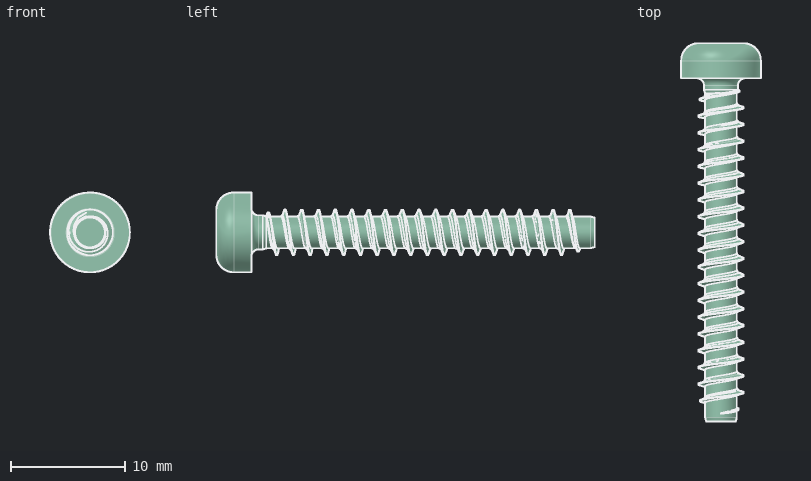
import cadquery as cq
import math


head_radius = 3.5
head_height = 3.09
head_top_round = 1.55
head_rim_round = 0.05

shank_length = 30.0
neck_radius = 1.5
neck_fillet = 0.6
neck_length = 1.0
neck_taper_length = 0.3
core_radius = 1.4
tip_radius = 1.3
tip_taper_length = 0.4

pitch = 1.464
thread_radius = 2.0
crest_half_width = 0.03
head_flank_knee_radius = 1.5
head_flank_knee_offset = 0.24
foot_radius = 1.25
head_flank_foot_offset = 0.8
tip_flank_foot_offset = 0.3
first_full_turn = 1.5
last_full_turn = 19.0
last_turn = 20.25
runout_end_height = 0.05
points_per_turn = 24

ARC_MIDDLE = math.sqrt(0.5)


def make_blank():
    """Head and plain shank, revolved about the Y axis."""
    top_round_x = head_radius - head_top_round
    top_round_y = head_height - head_top_round
    top_round_reach = head_top_round * ARC_MIDDLE
    rim_x = head_radius - head_rim_round
    rim_reach = head_rim_round * ARC_MIDDLE
    fillet_x = neck_radius + neck_fillet
    fillet_reach = neck_fillet * ARC_MIDDLE
    outline = (
        cq.Workplane("XY")
        .moveTo(0, head_height)
        .lineTo(top_round_x, head_height)
        .threePointArc(
            (top_round_x + top_round_reach, top_round_y + top_round_reach),
            (head_radius, top_round_y),
        )
        .lineTo(head_radius, head_rim_round)
        .threePointArc((rim_x + rim_reach, head_rim_round - rim_reach), (rim_x, 0))
        .lineTo(fillet_x, 0)
        .threePointArc(
            (fillet_x - fillet_reach, fillet_reach - neck_fillet),
            (neck_radius, -neck_fillet),
        )
        .lineTo(neck_radius, -neck_length)
        .lineTo(core_radius, -neck_length - neck_taper_length)
        .lineTo(core_radius, tip_taper_length - shank_length)
        .lineTo(tip_radius, -shank_length)
        .lineTo(0, -shank_length)
        .close()
    )
    return outline.revolve(360, (0, 0, 0), (0, 1, 0))


def profile_height(turn):
    """Share of the full profile height: it rises below the head and fades out at the tip."""
    rise = turn / first_full_turn
    fade = (last_turn - turn) / (last_turn - last_full_turn)
    return max(runout_end_height, min(1.0, rise, fade))


def helix_point(turn, full_radius, axial_offset):
    """Point of the helix that one corner of the thread profile follows."""
    radius = foot_radius + (full_radius - foot_radius) * profile_height(turn)
    angle = 2 * math.pi * turn
    return cq.Vector(
        -radius * math.sin(angle),
        -pitch * turn + axial_offset,
        radius * math.cos(angle),
    )


def make_thread():
    """Thread ridge, bounded by ruled faces between neighbouring corner helices."""
    corners = [
        (foot_radius, head_flank_foot_offset),
        (head_flank_knee_radius, head_flank_knee_offset),
        (thread_radius, crest_half_width),
        (thread_radius, -crest_half_width),
        (foot_radius, -tip_flank_foot_offset),
    ]
    step_count = round(last_turn * points_per_turn)
    turns = [last_turn * step / step_count for step in range(step_count + 1)]
    helices = []
    for radius, offset in corners:
        helices.append(cq.Edge.makeSpline([helix_point(turn, radius, offset) for turn in turns]))

    faces = []
    for index, helix in enumerate(helices):
        neighbour = helices[(index + 1) % len(helices)]
        faces.append(cq.Face.makeRuledSurface(helix, neighbour))
    for turn in (turns[0], turns[-1]):
        end_points = [helix_point(turn, radius, offset) for radius, offset in corners]
        faces.append(cq.Face.makeFromWires(cq.Wire.makePolygon(end_points, close=True)))
    ridge = cq.Solid.makeSolid(cq.Shell.makeShell(faces))
    return cq.Workplane(obj=ridge)


result = make_blank().union(make_thread())